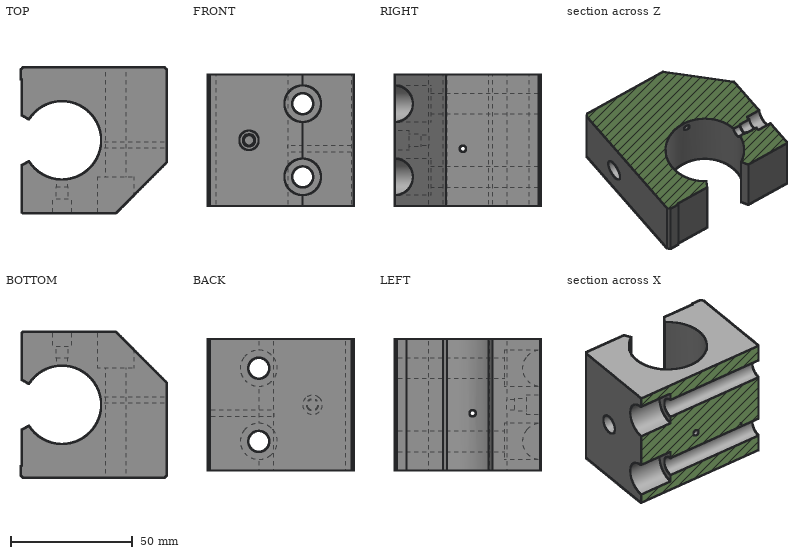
import cadquery as cq
import math

SIDE = 60.0
HEIGHT = 54.0
CORNER_CUT = 21.0
REAR_CHAMFER = 1.0
FRONT_CHAMFER = 0.5

PAD_WIDTH = 5.0
RELIEF = 0.5

BORE_RADIUS = 16.0
BORE_X = 17.0
BORE_Y = SIDE / 2
MOUTH_HALF_INNER = 8.5
MOUTH_HALF_OUTER = 10.2

BOLT_X = SIDE - CORNER_CUT
BOLT_SPACING = 30.0
BOLT_DIAMETER = 8.5
BOLT_HEAD_DIAMETER = 15.0
BOLT_HEAD_DEPTH = 15.0

SCREW_HEAD_DIAMETER = 8.0
SCREW_HEAD_DEPTH = 6.0
SCREW_DIAMETER = 5.0
SCREW_DEPTH = 10.8
SCREW_TIP_DIAMETER = 4.3

PIN_DIAMETER = 2.5
PIN_Y = BORE_Y - 2.0
PIN_Z = HEIGHT / 2 - 3.5


def make_block():
    outline = [
        (RELIEF + FRONT_CHAMFER, 0),
        (SIDE - CORNER_CUT, 0),
        (SIDE, CORNER_CUT),
        (SIDE, SIDE - REAR_CHAMFER),
        (SIDE - REAR_CHAMFER, SIDE),
        (REAR_CHAMFER, SIDE),
        (0, SIDE - REAR_CHAMFER),
        (0, SIDE - PAD_WIDTH),
        (RELIEF, SIDE - PAD_WIDTH),
        (RELIEF, FRONT_CHAMFER),
    ]
    return cq.Workplane("XY").polyline(outline).close().extrude(HEIGHT)


def make_bore():
    """Bore and mouth; the mouth narrows from the left face to the bore wall."""
    lip_x = BORE_X - math.sqrt(BORE_RADIUS**2 - MOUTH_HALF_INNER**2)
    return (
        cq.Workplane("XY")
        .moveTo(RELIEF, BORE_Y - MOUTH_HALF_OUTER)
        .lineTo(lip_x, BORE_Y - MOUTH_HALF_INNER)
        .threePointArc((BORE_X + BORE_RADIUS, BORE_Y), (lip_x, BORE_Y + MOUTH_HALF_INNER))
        .lineTo(RELIEF, BORE_Y + MOUTH_HALF_OUTER)
        .close()
        .extrude(HEIGHT)
    )


def front_hole(x, z, diameter, depth):
    """Cylinder entering the front face along +Y."""
    return cq.Workplane("XZ", origin=(x, 0, z)).circle(diameter / 2).extrude(-depth)


result = make_block().cut(make_bore())

for side in (-1, 1):
    bolt_z = HEIGHT / 2 + side * BOLT_SPACING / 2
    result = result.cut(front_hole(BOLT_X, bolt_z, BOLT_DIAMETER, SIDE))
    result = result.cut(front_hole(BOLT_X, bolt_z, BOLT_HEAD_DIAMETER, BOLT_HEAD_DEPTH))

screw_steps = [
    (SCREW_HEAD_DIAMETER, SCREW_HEAD_DEPTH),
    (SCREW_DIAMETER, SCREW_DEPTH),
    (SCREW_TIP_DIAMETER, BORE_Y),
]
for step_diameter, step_depth in screw_steps:
    result = result.cut(front_hole(BORE_X, HEIGHT / 2, step_diameter, step_depth))

pin_hole = cq.Workplane("YZ", origin=(BORE_X, PIN_Y, PIN_Z)).circle(PIN_DIAMETER / 2).extrude(SIDE)
result = result.cut(pin_hole)